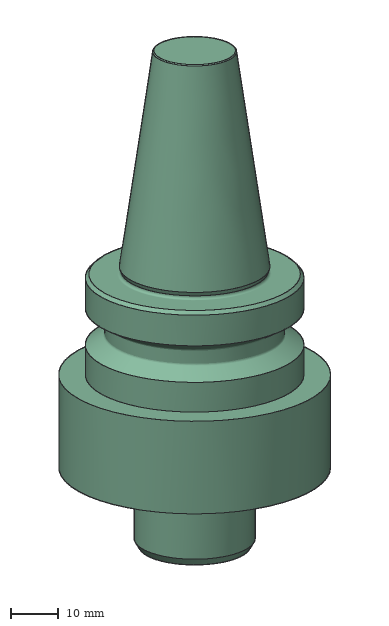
import cadquery as cq
import math

total_height = 110.9

pilot_radius = 12.7
pilot_length = 17.6
pilot_chamfer = 1.7
pilot_chamfer_width = 1.0

body_radius = 28.6
body_height = 20.7

flange_radius = 46.0 / 2
flange_edge_chamfer = 0.8
lower_flange_height = 6.7
groove_radius = 37.8 / 2
groove_floor_height = 3.4
groove_flank_angle = 30
groove_corner_radius = 0.4
upper_flange_height = 7.6

taper_ratio = 7 / 24
gauge_radius = 15.9
taper_length = 48.3
tip_chamfer = 0.2

neck_radius = 15.5
neck_chamfer_height = 0.9
neck_fillet = 0.7

flank_slope = math.tan(math.radians(groove_flank_angle))
groove_flank_height = (flange_radius - groove_radius) * flank_slope

body_bottom = pilot_length
body_top = body_bottom + body_height
groove_bottom = body_top + lower_flange_height
groove_floor_bottom = groove_bottom + groove_flank_height
groove_floor_top = groove_floor_bottom + groove_floor_height
groove_top = groove_floor_top + groove_flank_height
flange_top = groove_top + upper_flange_height
gauge_level = total_height - taper_length
tip_radius = gauge_radius - taper_ratio * taper_length / 2

profile = [
    (0, 0),
    (pilot_radius - pilot_chamfer_width, 0),
    (pilot_radius, pilot_chamfer),
    (pilot_radius, body_bottom),
    (body_radius, body_bottom),
    (body_radius, body_top),
    (flange_radius, body_top),
    (flange_radius, groove_bottom),
    (groove_radius, groove_floor_bottom),
    (groove_radius, groove_floor_top),
    (flange_radius, groove_top),
    (flange_radius, flange_top - flange_edge_chamfer),
    (flange_radius - flange_edge_chamfer, flange_top),
    (neck_radius, flange_top),
    (neck_radius, gauge_level - neck_chamfer_height),
    (gauge_radius, gauge_level),
    (tip_radius + tip_chamfer * taper_ratio / 2, total_height - tip_chamfer),
    (tip_radius - tip_chamfer, total_height),
    (0, total_height),
]

arbor = cq.Workplane("XZ").polyline(profile).close().revolve(360, (0, 0, 0), (0, 1, 0))


def round_circular_edge(body, radius, height, fillet_radius):
    """Fillet the full circular edge of the given radius at the given height."""
    tolerance = 0.01

    def is_wanted(edge):
        if edge.geomType() != "CIRCLE":
            return False
        same_radius = abs(edge.radius() - radius) < tolerance
        same_height = abs(edge.Center().z - height) < tolerance
        return same_radius and same_height

    return body.edges().filter(is_wanted).fillet(fillet_radius)


for corner_level in (groove_floor_bottom, groove_floor_top):
    arbor = round_circular_edge(arbor, groove_radius, corner_level, groove_corner_radius)
result = round_circular_edge(arbor, neck_radius, flange_top, neck_fillet)